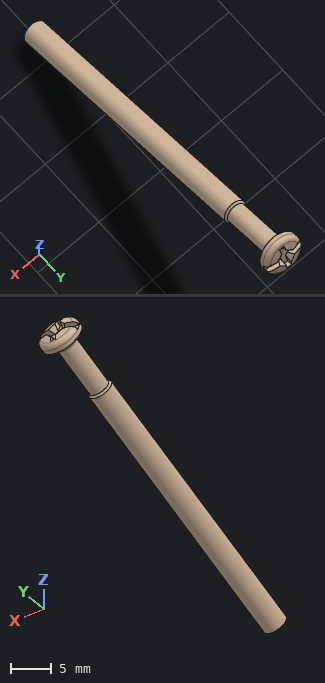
import cadquery as cq
import math


tilt_from_y = 20.0
upright_angle = 90.0

total_length = 50.3
neck_end = 10.0
rim_height = 0.64

head_radius = 2.9
dome_radius = 2.3
neck_radius = 1.42
shank_radius = 1.7

crown_sag = 0.32
shoulder_radius = 0.77
shoulder_axis = head_radius - shoulder_radius
rim_top_depth = crown_sag + math.sqrt(shoulder_radius**2 - (dome_radius - shoulder_axis) ** 2)
underside_angle = 28.0
neck_fillet = 0.25

tip_radius = neck_radius
chamfer_length = 0.28

recess_depth = 1.04
slot_width = 0.95
slot_length = 3 * head_radius
cross_arm_width = 0.75
cross_arm_length = 4.0
centre_square_width = 2.44
square_turn = 45.0
centre_square_taper = 20.0


def crown_height(radius):
    """Height of the spherical crown, relative to its centre, at the given radius."""
    sphere_radius = (dome_radius**2 + crown_sag**2) / (2 * crown_sag)
    return math.sqrt(sphere_radius**2 - radius**2) - sphere_radius


def shoulder_midpoint():
    """Point on the shoulder arc at 45 degrees above the top of the rim."""
    reach = shoulder_radius * math.sqrt(0.5)
    return (shoulder_axis + reach, reach - rim_top_depth)


def make_body():
    """Revolve the half outline of head, neck and shank about the axis."""
    rim_bottom = rim_top_depth + rim_height
    underside_drop = (head_radius - neck_radius) * math.tan(math.radians(underside_angle))
    underside_end = rim_bottom + underside_drop
    profile = (
        cq.Workplane("XZ")
        .moveTo(0, 0)
        .threePointArc((dome_radius / 2, crown_height(dome_radius / 2)), (dome_radius, -crown_sag))
        .threePointArc(shoulder_midpoint(), (head_radius, -rim_top_depth))
        .lineTo(head_radius, -rim_bottom)
        .lineTo(neck_radius, -underside_end)
        .lineTo(neck_radius, -neck_end)
        .lineTo(shank_radius, -neck_end - chamfer_length)
        .lineTo(shank_radius, -total_length + chamfer_length)
        .lineTo(tip_radius, -total_length)
        .lineTo(0, -total_length)
        .close()
    )
    body = profile.revolve(360, (0, 0, 0), (0, 1, 0))
    neck_corner = cq.selectors.BoxSelector(
        (-head_radius, -head_radius, -underside_end - neck_fillet / 2),
        (head_radius, head_radius, -underside_end + neck_fillet / 2),
    )
    return body.edges(neck_corner).fillet(neck_fillet)


def make_recess():
    """Straight slot across the head, a shorter cross arm and a diagonal square between them."""
    slot = cq.Workplane("XY").box(slot_length, slot_width, 2 * recess_depth)
    cross_arm = cq.Workplane("XY").box(cross_arm_width, cross_arm_length, 2 * recess_depth)
    square = cq.Workplane("XY").rect(centre_square_width, centre_square_width)
    square = square.extrude(-recess_depth, taper=centre_square_taper)
    centre_square = square.rotate((0, 0, 0), (0, 0, 1), square_turn)
    return slot.union(cross_arm).union(centre_square)


screw = make_body().cut(make_recess())
result = screw.rotate((0, 0, 0), (1, 0, 0), tilt_from_y - upright_angle)